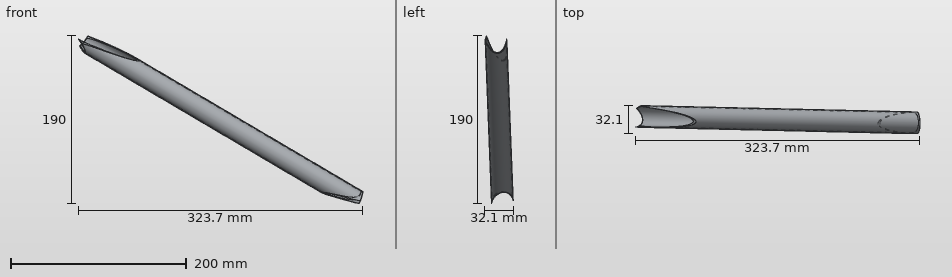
import cadquery as cq
import math

outer_diameter = 25.0
outer_radius = outer_diameter / 2
wall = 1.0
slope_angle = 30.5
slope_z = -math.tan(math.radians(slope_angle))
slope_y = -0.023
axis_point = cq.Vector(0, 0, -0.5)
axis_dir = cq.Vector(1, slope_y, slope_z).normalized()
end_length = 226.7

saddle_clearance = 0.03
saddle_radius = outer_radius + saddle_clearance
scoop_station = -192.0
scoop_yaw = -8.7
scoop_pitch = -13.9
scoop_offset = 0.4
end_cut_station = -191.7
end_cut_yaw = -84
end_cut_pitch = -75.7
end_cut_offset = -1.0

trim_point = cq.Vector(-148.5, 15.5, 95.2)
trim_yaw = 155
trim_pitch = 33.4

lower_saddle_station = 185.5
lower_saddle_yaw = 3
lower_saddle_pitch = 0.8

cutter_reach = 323.8
trim_radius = 5 * outer_radius
slot_depth = 129.5


def direction(yaw, pitch):
    """Unit vector turned by yaw about Z and raised by pitch, in degrees."""
    yaw = math.radians(yaw)
    pitch = math.radians(pitch)
    return cq.Vector(math.cos(yaw) * math.cos(pitch), math.sin(yaw) * math.cos(pitch), math.sin(pitch))


def make_tube():
    start = axis_point - axis_dir * end_length
    length = 2 * end_length
    outer = cq.Solid.makeCylinder(outer_radius, length, start, axis_dir)
    bore = cq.Solid.makeCylinder(outer_radius - wall, length, start, axis_dir)
    return cq.Workplane(obj=outer).cut(cq.Workplane(obj=bore))


def saddle_cutter(station, yaw, pitch, end_sign, offset=0):
    """Round-nosed slot crossing the tube at a station and open past the tube end."""
    run = direction(yaw, pitch)
    side = run.cross(axis_dir).normalized()
    outward = side.cross(run) * end_sign
    start = axis_point + axis_dir * station + side * offset - run * cutter_reach
    across = outward.cross(run)
    profile = cq.Workplane(cq.Plane(origin=start, xDir=across, normal=run))
    nose = profile.circle(saddle_radius).extrude(2 * cutter_reach)
    mouth = profile.rect(2 * saddle_radius, slot_depth, centered=(True, False)).extrude(2 * cutter_reach)
    return nose.union(mouth)


scoop_cutter = saddle_cutter(scoop_station, scoop_yaw, scoop_pitch, -1, scoop_offset)
end_cutter = saddle_cutter(end_cut_station, end_cut_yaw, end_cut_pitch, -1, end_cut_offset)
lower_cutter = saddle_cutter(lower_saddle_station, lower_saddle_yaw, lower_saddle_pitch, 1)
trim_cutter = cq.Workplane(
    obj=cq.Solid.makeCylinder(trim_radius, cutter_reach, trim_point, direction(trim_yaw, trim_pitch))
)
cut = make_tube().cut(trim_cutter).cut(scoop_cutter).cut(end_cutter).cut(lower_cutter)
result = cq.Workplane(obj=max(cut.solids().vals(), key=lambda piece: piece.Volume()))